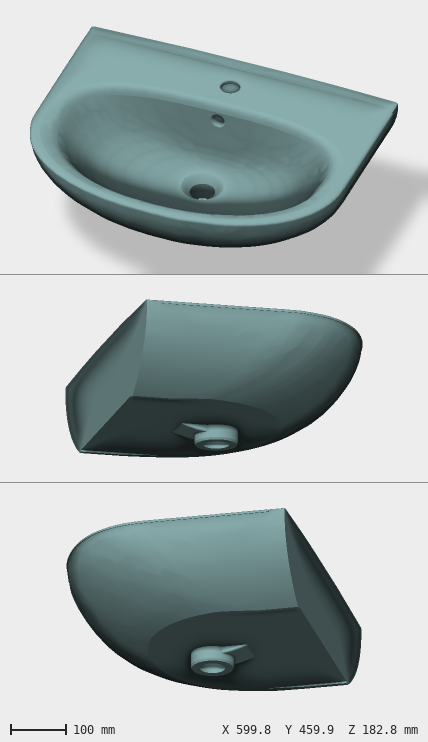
import cadquery as cq
import math


WIDTH = 599.75
DEPTH = 459.88
HEIGHT = 182.76

RIM_HEIGHT = 6.5
RIM_ROUND_HEIGHT = 5.0
RIM_ROUND_WIDTH = 8.0
ROUND_SECTIONS = 5
RIM_OVERHANG = 1.5
BACK_RELIEF_LENGTH = 29.0
RIM_STRAIGHT = 0.565
FRONT_EXPONENT = 2.2

UPSTAND_HEIGHT = 6.0
UPSTAND_DEPTH = 20.0
UPSTAND_MIDDLE_DEPTH = 12.0
UPSTAND_MIDDLE_HEIGHT = 3.2
UPSTAND_TOE = 0.3

SIDE_REACH = 295.0
SIDE_DROP = 190.0
SIDE_EXPONENT = 2.0
FRONT_REACH = 189.0
FRONT_DROP = 150.0
FRONT_PROFILE_EXPONENT = 1.8
SHELL_BOTTOM = 149.2
BOTTOM_STRAIGHT = 0.3
SHELL_SECTIONS = 8

FOOT_BOTTOM = 152.5
FOOT_INNER_X = 183.0
FOOT_FLAT = 75.0
FOOT_END = 150.0

DRAIN_Y = -205.0
DRAIN_DIAMETER = 46.0
DRAIN_SEAT_DIAMETER = 77.0
DRAIN_SEAT_Z = -131.0
DRAIN_SEAT_DEPTH = 12.0
BOSS_DIAMETER = 78.5
BOSS_BOTTOM = UPSTAND_HEIGHT - HEIGHT
BOSS_CHAMFER_HEIGHT = 4.0
BOSS_CHAMFER_WIDTH = 2.0

DUCT_WIDTH = 62.0
DUCT_START_Y = -132.0
DUCT_BOTTOM = -163.0
DUCT_BEND_RISE = 2.5
DUCT_ROUND = 3.0
DUCT_TOP = -140.0

TAP_Y = -70.0
TAP_DIAMETER = 36.0
TAP_DEPTH = 8.0
OVERFLOW_Z = -34.0
OVERFLOW_WALL_Y = -131.0
OVERFLOW_DIAMETER = 24.0
OVERFLOW_DEPTH = 12.0
TAP_LIP = 1.5
OVERFLOW_LIP = 2.5

SEAT_RADIUS = DRAIN_SEAT_DIAMETER / 2
ROLL_TOP = (0.0, 280.0, -116.0, -265.0, -448.0, 3.0)
ROLL_MIDDLE = (-4.0, 264.0, -125.0, -261.0, -433.0, 3.0)
ROLL_BOTTOM = (-16.0, 252.0, -130.0, -256.0, -421.0, 3.0)
BOWL_UPPER = (-48.0, 228.0, -131.0, -252.0, -394.0, 2.8)
BOWL_MIDDLE = (-80.0, 194.0, -132.5, -246.0, -360.0, 2.6)
BOWL_LOWER = (-112.0, 128.0, -138.0, -228.0, -305.0, 2.3)
BOWL_FLOOR = (
    DRAIN_SEAT_Z, SEAT_RADIUS, DRAIN_Y + SEAT_RADIUS, DRAIN_Y, DRAIN_Y - SEAT_RADIUS, 2.0,
)
BOWL_FRONT_EXPONENT = 2.15
CONTOUR_POINTS = 32
QUARTER_POINTS = 8


def signed_power(value, exponent):
    return math.copysign(abs(value) ** exponent, value)


def superellipse_point(angle, half_width, half_length, exponent):
    x = half_width * signed_power(math.cos(angle), 2 / exponent)
    y = half_length * signed_power(math.sin(angle), 2 / exponent)
    return x, y


def shell_outline(z, half_width, front, straight_fraction):
    """Straight back and sides closed by a front of two mirrored superelliptic quarters."""
    corner_y = -front * straight_fraction
    front_length = front + corner_y
    quarter = []
    for i in range(1, QUARTER_POINTS):
        angle = -math.pi / 2 * i / QUARTER_POINTS
        x, y = superellipse_point(angle, half_width, front_length, FRONT_EXPONENT)
        quarter.append((x, corner_y + y))
    right_quarter = quarter + [(0, -front)]
    left_quarter = [(-x, y) for x, y in reversed(quarter)] + [(-half_width, corner_y)]
    return (
        cq.Workplane("XY", origin=(0, 0, z))
        .moveTo(-half_width, 0)
        .lineTo(half_width, 0)
        .lineTo(half_width, corner_y)
        .spline(right_quarter, tangents=[(0, -1), (-1, 0)], includeCurrent=True)
        .spline(left_quarter, tangents=[(-1, 0), (0, 1)], includeCurrent=True)
        .close()
    )


def inset_at(drop, reach, full_drop, exponent):
    return reach * (1 - (1 - (drop / full_drop) ** exponent) ** (1 / exponent))


def loft(outlines):
    wires = [outline.val() for outline in outlines]
    return cq.Workplane(cq.Solid.makeLoft(wires))


def make_rim():
    """Flat plate whose upper edge is rounded along the sides and the front."""
    lower_outline = shell_outline(-RIM_HEIGHT, WIDTH / 2, DEPTH, RIM_STRAIGHT)
    rim = lower_outline.extrude(RIM_HEIGHT - RIM_ROUND_HEIGHT)
    rounded_edge = []
    for i in range(ROUND_SECTIONS):
        angle = math.pi / 2 * i / (ROUND_SECTIONS - 1)
        z = RIM_ROUND_HEIGHT * (math.sin(angle) - 1)
        inset = RIM_ROUND_WIDTH * (1 - math.cos(angle))
        rounded_edge.append(shell_outline(z, WIDTH / 2 - inset, DEPTH - inset, RIM_STRAIGHT))
    rim = rim.union(loft(rounded_edge))
    for side in (-1, 1):
        relief = cq.Workplane("XY").box(
            2 * RIM_OVERHANG, 2 * BACK_RELIEF_LENGTH, 4 * RIM_HEIGHT
        )
        rim = rim.cut(relief.translate((side * WIDTH / 2, 0, 0)))
    return rim


def make_shell():
    outlines = []
    full_drop = FOOT_BOTTOM - RIM_HEIGHT
    front_limit = inset_at(full_drop, FRONT_REACH, FRONT_DROP, FRONT_PROFILE_EXPONENT)
    for i in range(SHELL_SECTIONS):
        drop = full_drop * math.sin(math.pi / 2 * i / (SHELL_SECTIONS - 1))
        side_inset = inset_at(drop, SIDE_REACH, SIDE_DROP, SIDE_EXPONENT)
        front_inset = inset_at(drop, FRONT_REACH, FRONT_DROP, FRONT_PROFILE_EXPONENT)
        half_width = WIDTH / 2 - RIM_OVERHANG - side_inset
        front = DEPTH - RIM_OVERHANG - front_inset
        straight = RIM_STRAIGHT + (BOTTOM_STRAIGHT - RIM_STRAIGHT) * front_inset / front_limit
        outlines.append(shell_outline(-RIM_HEIGHT - drop, half_width, front, straight))
    return loft(outlines)


def trim_underside(shell):
    """Leave only two feet at the back corners below the flat underside."""
    between_feet = (
        cq.Workplane("XY", origin=(0, 0, -SHELL_BOTTOM))
        .rect(2 * FOOT_INNER_X, 2 * DEPTH)
        .extrude(SHELL_BOTTOM - FOOT_BOTTOM)
    )
    ahead_of_feet = (
        cq.Workplane("YZ")
        .moveTo(-FOOT_FLAT, -FOOT_BOTTOM)
        .lineTo(-FOOT_END, -SHELL_BOTTOM)
        .lineTo(-DEPTH, -SHELL_BOTTOM)
        .lineTo(-DEPTH, -FOOT_BOTTOM)
        .close()
        .extrude(WIDTH / 2, both=True)
    )
    return shell.cut(between_feet).cut(ahead_of_feet)


def upstand_section(y, crown):
    half_width = WIDTH / 2 - RIM_ROUND_WIDTH
    return (
        cq.Workplane("XZ", origin=(0, y, 0))
        .moveTo(-half_width, -RIM_HEIGHT)
        .lineTo(-half_width, 0)
        .threePointArc((0, crown), (half_width, 0))
        .lineTo(half_width, -RIM_HEIGHT)
        .close()
    )


def make_upstand():
    """Crowned strip that falls away from the wall and from its middle."""
    return loft(
        [
            upstand_section(0, UPSTAND_HEIGHT),
            upstand_section(-UPSTAND_MIDDLE_DEPTH, UPSTAND_MIDDLE_HEIGHT),
            upstand_section(-UPSTAND_DEPTH, UPSTAND_TOE),
        ]
    )


def make_drain_boss():
    radius = BOSS_DIAMETER / 2
    return (
        cq.Workplane("XZ", origin=(0, DRAIN_Y, 0))
        .moveTo(0, DRAIN_SEAT_Z)
        .lineTo(radius, DRAIN_SEAT_Z)
        .lineTo(radius, BOSS_BOTTOM + BOSS_CHAMFER_HEIGHT)
        .lineTo(radius - BOSS_CHAMFER_WIDTH, BOSS_BOTTOM)
        .lineTo(0, BOSS_BOTTOM)
        .close()
        .revolve(360, (0, 0, 0), (0, 1, 0))
    )


def make_overflow_duct():
    """Curved duct bottom running from the back into the drain boss."""
    middle_y = (DUCT_START_Y + DRAIN_Y) / 2
    duct = (
        cq.Workplane("YZ")
        .moveTo(DUCT_START_Y, DUCT_TOP)
        .lineTo(DUCT_START_Y, -SHELL_BOTTOM)
        .threePointArc((middle_y, DUCT_BOTTOM + DUCT_BEND_RISE), (DRAIN_Y, DUCT_BOTTOM))
        .lineTo(DRAIN_Y, DUCT_TOP)
        .close()
        .extrude(DUCT_WIDTH / 2, both=True)
    )
    return duct.faces("<X or >X").edges("%CIRCLE").fillet(DUCT_ROUND)


def bowl_contour(contour):
    """Closed egg shape of two superelliptic halves that meet at the widest line."""
    z, half_width, back, widest, front, back_exponent = contour
    points = []
    for i in range(CONTOUR_POINTS):
        angle = 2 * math.pi * i / CONTOUR_POINTS
        is_back = math.sin(angle) > 0
        length = back - widest if is_back else widest - front
        exponent = back_exponent if is_back else BOWL_FRONT_EXPONENT
        x, y = superellipse_point(angle, half_width, length, exponent)
        points.append((x, widest + y))
    return cq.Workplane("XY", origin=(0, 0, z)).spline(points, periodic=True).wire()


def make_bowl():
    roll = loft([bowl_contour(c) for c in (ROLL_TOP, ROLL_MIDDLE, ROLL_BOTTOM)])
    basin = loft(
        [bowl_contour(c) for c in (ROLL_BOTTOM, BOWL_UPPER, BOWL_MIDDLE, BOWL_LOWER, BOWL_FLOOR)]
    )
    return roll, basin


def make_drain_hole():
    hole_radius = DRAIN_DIAMETER / 2
    return (
        cq.Workplane("XZ", origin=(0, DRAIN_Y, 0))
        .moveTo(0, DRAIN_SEAT_Z)
        .lineTo(SEAT_RADIUS, DRAIN_SEAT_Z)
        .lineTo(hole_radius, DRAIN_SEAT_Z - DRAIN_SEAT_DEPTH)
        .lineTo(hole_radius, BOSS_BOTTOM)
        .lineTo(0, BOSS_BOTTOM)
        .close()
        .revolve(360, (0, 0, 0), (0, 1, 0))
    )


def lipped_hole(position, direction, diameter, depth, lip):
    """Blind hole with a chamfered mouth."""
    center = cq.Vector(*position)
    axis = cq.Vector(*direction)
    radius = diameter / 2
    bore = cq.Solid.makeCylinder(radius, depth, center, axis)
    mouth = cq.Solid.makeCone(radius + lip, radius, lip, center, axis)
    return cq.Workplane(bore.fuse(mouth))


body = trim_underside(make_shell())
body = body.union(make_rim()).union(make_upstand())
body = body.union(make_drain_boss()).union(make_overflow_duct())
for bowl_part in make_bowl():
    body = body.cut(bowl_part)
body = body.cut(make_drain_hole())
tap_hole = lipped_hole((0, TAP_Y, 0), (0, 0, -1), TAP_DIAMETER, TAP_DEPTH, TAP_LIP)
overflow_hole = lipped_hole(
    (0, OVERFLOW_WALL_Y, OVERFLOW_Z), (0, 1, 0), OVERFLOW_DIAMETER, OVERFLOW_DEPTH, OVERFLOW_LIP
)
body = body.cut(tap_hole).cut(overflow_hole)

result = body